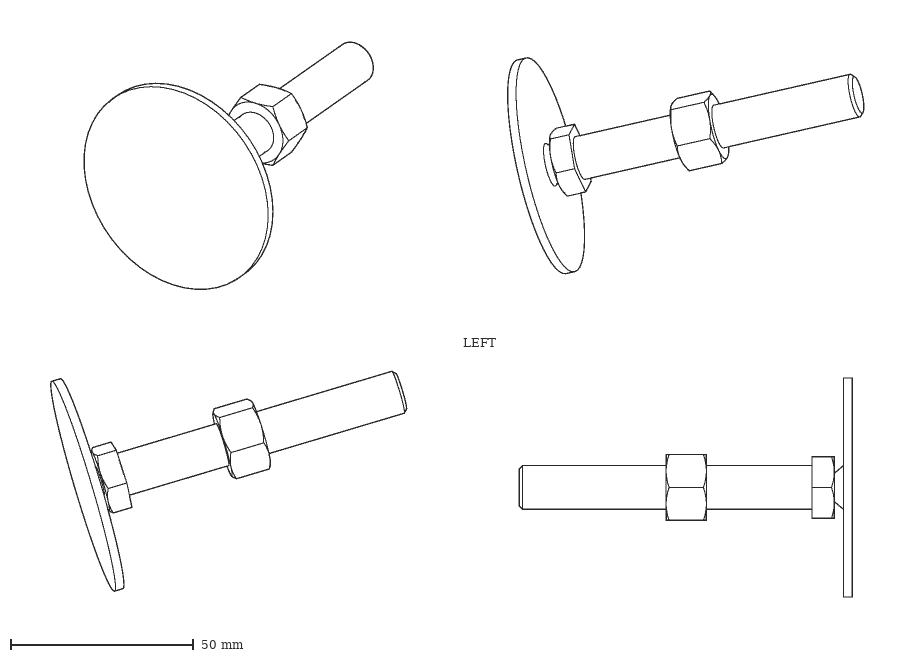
import cadquery as cq
import math

total_length = 91.0

plate_diameter = 60.0
plate_thickness = 2.5
neck_length = 2.5
neck_base_radius = 6.0
neck_tip_radius = 3.9

stud_diameter = 12.0
stud_tip_chamfer = 0.9
head_across_flats = 16.8
head_height = 6.1
head_start = plate_thickness + neck_length

nut_across_flats = 18.0
nut_height = 11.0
nut_start = 39.9

bevel_angle = math.radians(30)


def cylinder(diameter, start, length):
    """Cylinder on the Y axis running from `start` towards +Y."""
    plane = cq.Workplane("XZ", origin=(0, start, 0))
    return plane.circle(diameter / 2).extrude(-length)


def revolve_about_y(points):
    """Solid of revolution from a closed (radius, Y) outline."""
    return cq.Workplane("XY").polyline(points).close().revolve(360, (0, 0, 0), (0, 1, 0))


def beveled_hexagon(across_flats, start, height, bevel_far_end):
    """Hexagonal prism with corners on the X axis, beveled down to its inscribed circle."""
    flat_radius = across_flats / 2
    corner_radius = flat_radius / math.cos(math.pi / 6)
    bevel_depth = (corner_radius - flat_radius) * math.tan(bevel_angle)
    end = start + height

    plane = cq.Workplane("XZ", origin=(0, start, 0))
    prism = plane.polygon(6, 2 * corner_radius).extrude(-height)

    outline = [(0, start), (flat_radius, start), (corner_radius, start + bevel_depth)]
    if bevel_far_end:
        outline += [(corner_radius, end - bevel_depth), (flat_radius, end)]
    else:
        outline += [(corner_radius, end)]
    outline += [(0, end)]
    return prism.intersect(revolve_about_y(outline))


def make_foot():
    plate = cylinder(plate_diameter, 0, plate_thickness)
    neck = revolve_about_y([
        (0, plate_thickness),
        (neck_base_radius, plate_thickness),
        (neck_tip_radius, head_start),
        (0, head_start),
    ])
    return plate.union(neck)


def make_stud():
    head = beveled_hexagon(head_across_flats, head_start, head_height, bevel_far_end=False)
    shank_start = head_start + head_height
    shank = cylinder(stud_diameter, shank_start, total_length - shank_start)
    shank = shank.faces(">Y").chamfer(stud_tip_chamfer)
    return head.union(shank)


def make_nut():
    body = beveled_hexagon(nut_across_flats, nut_start, nut_height, bevel_far_end=True)
    return body.cut(cylinder(stud_diameter, nut_start, nut_height))


foot = make_foot()
stud = make_stud()
nut = make_nut()

result = cq.Compound.makeCompound([foot.val(), stud.val(), nut.val()])